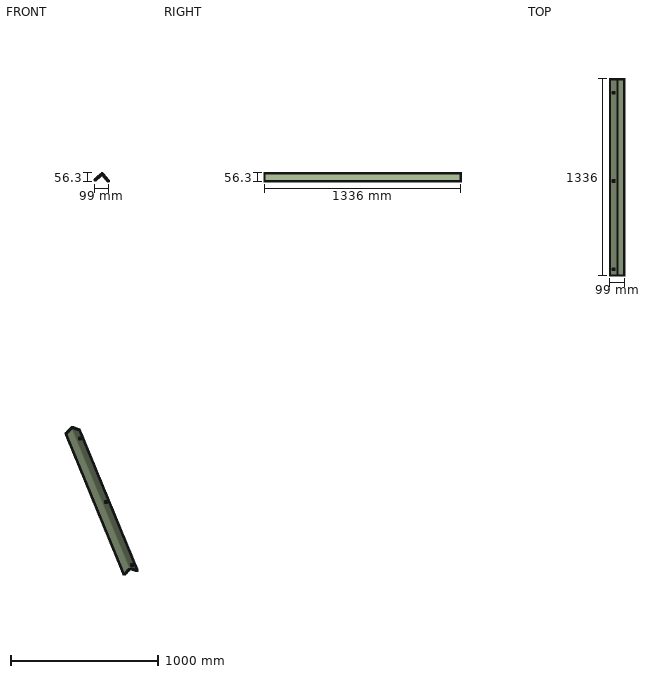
import cadquery as cq
import math

length = 1336.0
overall_width = 99.0
tilt = 40.3
thickness = 7.0
root_radius = 9.0
toe_radius = 4.4

tilt_rad = math.radians(tilt)
leg = overall_width / (math.cos(tilt_rad) + math.sin(tilt_rad))

hole_diameter = 13.0
hole_from_heel = 39.0
hole_pitch = 600.0
first_hole_from_back = 94.0
hole_count = 3


def round_lengthwise_edge(bar, corner, radius):
    """Fillet the edge running along Y through the given (x, z) section corner."""
    x, z = corner
    edge = cq.selectors.NearestToPointSelector((x, 0, z))
    return bar.edges("|Y").edges(edge).fillet(radius)


def angle_bar():
    """Extrude the L section along Y with its outer heel on the Y axis."""
    section = [
        (0, 0),
        (-leg, 0),
        (-leg, -thickness),
        (-thickness, -thickness),
        (-thickness, -leg),
        (0, -leg),
    ]
    bar = cq.Workplane("XZ").polyline(section).close().extrude(length / 2, both=True)
    bar = round_lengthwise_edge(bar, (-thickness, -thickness), root_radius)
    bar = round_lengthwise_edge(bar, (-leg, -thickness), toe_radius)
    return round_lengthwise_edge(bar, (-thickness, -leg), toe_radius)


def leg_holes():
    """Cylinders crossing the -X leg, measured from the +Y end."""
    centers = [
        (-hole_from_heel, length / 2 - first_hole_from_back - i * hole_pitch)
        for i in range(hole_count)
    ]
    return (
        cq.Workplane("XY")
        .pushPoints(centers)
        .circle(hole_diameter / 2)
        .extrude(thickness, both=True)
    )


flat_bar = angle_bar().cut(leg_holes())
result = flat_bar.rotate((0, 0, 0), (0, 1, 0), -tilt)